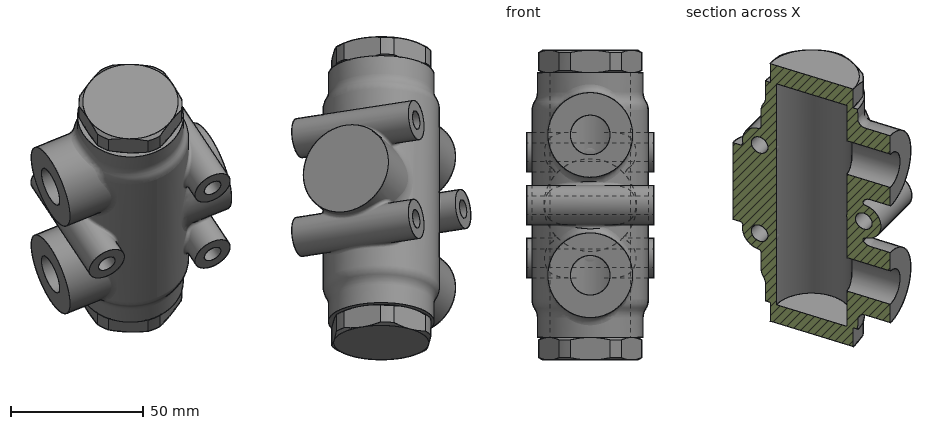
import math

import cadquery as cq

overall_height = 117.0
barrel_radius = 22.0
neck_radius = 20.0
neck_top = 50.0
bore_diameter = 30.29

shoulder_start = 35.8
shoulder_end = 42.5

hex_across_flats = 36.0
hex_corner_diameter = 39.0
hex_chamfer_angle = 30.0
flat_to_front_angle = 90.0

port_reach = 34.0
front_port_diameter = 32.0
front_port_hole = 14.95
front_port_height = 26.5
front_port_fillet = 3.0
rear_port_diameter = 35.0
rear_port_fillet = 5.0

lug_length = 48.0
lug_diameter = 15.0
lug_hole = 7.0
lug_offset = 22.5
rear_lug_height = 20.0
lug_fillet = 1.0

front_port_heights = [front_port_height, -front_port_height]
lug_places = [
    (lug_offset, rear_lug_height),
    (lug_offset, -rear_lug_height),
    (-lug_offset, 0),
]

on_surface_tolerance = 1e-3


def cylinder_x(diameter, y, z):
    """Cylinder along X, as long as a lug and centred on X = 0."""
    return cq.Workplane("YZ", origin=(-lug_length / 2, y, z)).circle(diameter / 2).extrude(lug_length)


def cylinder_y(diameter, z, end_y):
    """Cylinder along Y from the barrel axis to end_y."""
    return cq.Workplane("XZ", origin=(0, 0, z)).circle(diameter / 2).extrude(-end_y)


def fillet_joint(body, axis_distance, diameter, fillet):
    """Fillet the curved edges that lie on the cylinder whose axis is measured by axis_distance."""

    def is_joint(edge):
        points = [edge.positionAt(fraction) for fraction in (0.25, 0.5, 0.75)]
        return all(abs(axis_distance(p) - diameter / 2) < on_surface_tolerance for p in points)

    return body.edges("%BSPLINE").filter(is_joint).fillet(fillet)


def make_barrel():
    """Solid barrel of revolution with a narrower neck and a smooth shoulder at each end."""
    shoulder_mid = (shoulder_start + shoulder_end) / 2
    mid_radius = (barrel_radius + neck_radius) / 2
    profile = (
        cq.Workplane("XZ")
        .moveTo(0, -neck_top)
        .lineTo(neck_radius, -neck_top)
        .lineTo(neck_radius, -shoulder_end)
        .tangentArcPoint((mid_radius, -shoulder_mid), relative=False)
        .tangentArcPoint((barrel_radius, -shoulder_start), relative=False)
        .lineTo(barrel_radius, shoulder_start)
        .tangentArcPoint((mid_radius, shoulder_mid), relative=False)
        .tangentArcPoint((neck_radius, shoulder_end), relative=False)
        .lineTo(neck_radius, neck_top)
        .lineTo(0, neck_top)
        .close()
    )
    return profile.revolve(360, (0, 0, 0), (0, 1, 0))


def add_port(body, diameter, z, end_y, fillet):
    """Add a round port along Y and fillet it into the body."""
    body = body.union(cylinder_y(diameter, z, end_y))
    return fillet_joint(body, lambda p: math.hypot(p.x, p.z - z), diameter, fillet)


def add_lug(body, y, z):
    """Add a lug bar along X and fillet it into the body."""
    body = body.union(cylinder_x(lug_diameter, y, z))
    return fillet_joint(body, lambda p: math.hypot(p.y - y, p.z - z), lug_diameter, lug_fillet)


def make_bore():
    """Volume of the main bore, less the slivers where the lug bars stand proud of its wall."""
    bore = cq.Workplane("XY").circle(bore_diameter / 2).extrude(neck_top, both=True)
    for y, z in lug_places:
        bore = bore.cut(cylinder_x(lug_diameter, y, z))
    return bore


def make_plug_head():
    """Hexagonal head on the upper neck, its corners turned round and chamfered at both ends."""
    height = overall_height / 2 - neck_top
    corner_radius = hex_corner_diameter / 2
    chamfer_width = (hex_corner_diameter - hex_across_flats) / 2
    chamfer_height = chamfer_width * math.tan(math.radians(hex_chamfer_angle))
    hexagon = cq.Workplane("XY").polygon(6, hex_across_flats, circumscribed=True).extrude(height)
    hexagon = hexagon.rotate((0, 0, 0), (0, 0, 1), flat_to_front_angle)
    turned = (
        cq.Workplane("XZ")
        .lineTo(hex_across_flats / 2, 0)
        .lineTo(corner_radius, chamfer_height)
        .lineTo(corner_radius, height - chamfer_height)
        .lineTo(hex_across_flats / 2, height)
        .lineTo(0, height)
        .close()
        .revolve(360, (0, 0, 0), (0, 1, 0))
    )
    return turned.intersect(hexagon).translate((0, 0, neck_top))


casting = make_barrel()
for port_z in front_port_heights:
    casting = add_port(casting, front_port_diameter, port_z, -port_reach, front_port_fillet)
casting = add_port(casting, rear_port_diameter, 0, port_reach, rear_port_fillet)
for lug_y, lug_z in lug_places:
    casting = add_lug(casting, lug_y, lug_z)

casting = casting.cut(make_bore())
for port_z in front_port_heights:
    casting = casting.cut(cylinder_y(front_port_hole, port_z, -port_reach))
for lug_y, lug_z in lug_places:
    casting = casting.cut(cylinder_x(lug_hole, lug_y, lug_z))

plug_head = make_plug_head()
result = casting.union(plug_head).union(plug_head.mirror("XY"))